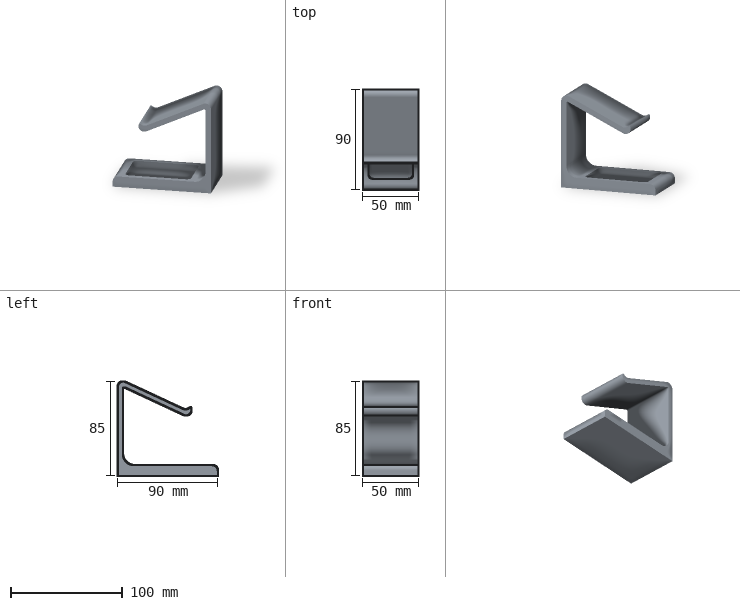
import cadquery as cq
import math

width = 50.0
length = 90.0
height = 85.0
wall = 5.0
base_thickness = 10.0
base_fillet = 10.0
nose_radius = 5.0
inner_bend_radius = 1.0
arm_angle = 25.0
arm_length = 59.8
lip_angle = 33.0
lip_groove_radius = 5.0
lip_groove_setback = 2.9
pocket_width = 40.0
pocket_length = 60.0
pocket_margin = 10.0
pocket_depth = 5.0
pocket_radius = 4.05


def shift(point, distance, angle):
    """Move a (y, z) point along a direction given in degrees above +Y."""
    turn = math.radians(angle)
    return (point[0] + distance * math.cos(turn), point[1] + distance * math.sin(turn))


arm_direction = 180 + arm_angle
arm_normal = 90 + arm_angle
bend_center = (-wall, height - wall)

arm_top_start = shift(bend_center, wall, arm_normal)
arm_under_end = shift(bend_center, arm_length, arm_direction)

lip_center = shift(arm_under_end, wall, arm_normal)
groove_start = shift(lip_center, lip_groove_setback, arm_angle)
groove_center = shift(groove_start, lip_groove_radius, arm_normal)
groove_end = shift(groove_center, lip_groove_radius, 270 - lip_angle)
groove_middle = shift(groove_center, lip_groove_radius, 270 + (arm_angle - lip_angle) / 2)

flat_direction = math.radians(180 - lip_angle)
offset_y = groove_end[0] - lip_center[0]
offset_z = groove_end[1] - lip_center[1]
along = offset_y * math.cos(flat_direction) + offset_z * math.sin(flat_direction)
flat_length = -along + math.sqrt(along**2 - offset_y**2 - offset_z**2 + wall**2)
lip_tip = shift(groove_end, flat_length, 180 - lip_angle)
tip_angle = math.degrees(math.atan2(lip_tip[1] - lip_center[1], lip_tip[0] - lip_center[0]))
lip_end_angle = arm_normal + 180
lip_middle = shift(lip_center, wall, (tip_angle + lip_end_angle) / 2)


def make_stand():
    stand = (
        cq.Workplane("YZ")
        .moveTo(0, 0)
        .lineTo(0, bend_center[1])
        .threePointArc(shift(bend_center, wall, arm_normal / 2), arm_top_start)
        .lineTo(*groove_start)
        .threePointArc(groove_middle, groove_end)
        .lineTo(*lip_tip)
        .threePointArc(lip_middle, arm_under_end)
        .lineTo(*bend_center)
        .lineTo(-wall, base_thickness)
        .lineTo(-length, base_thickness)
        .lineTo(-length, 0)
        .close()
        .extrude(width / 2, both=True)
    )
    stand = round_edge(stand, bend_center, inner_bend_radius)
    stand = round_edge(stand, (-wall, base_thickness), base_fillet)
    return round_edge(stand, (-length, base_thickness), nose_radius)


def round_edge(body, corner, radius):
    """Fillet the X-direction edge that passes through a profile corner."""
    point = (0, corner[0], corner[1])
    return body.edges("|X").edges(cq.NearestToPointSelector(point)).fillet(radius)


def make_pocket():
    center_y = -length + pocket_margin + pocket_length / 2
    return (
        cq.Workplane("XY", origin=(0, center_y, base_thickness - pocket_depth))
        .rect(pocket_width, pocket_length)
        .extrude(pocket_depth)
        .edges("|Z")
        .fillet(pocket_radius)
        .faces("<Z")
        .edges()
        .fillet(pocket_radius)
    )


result = make_stand().cut(make_pocket())